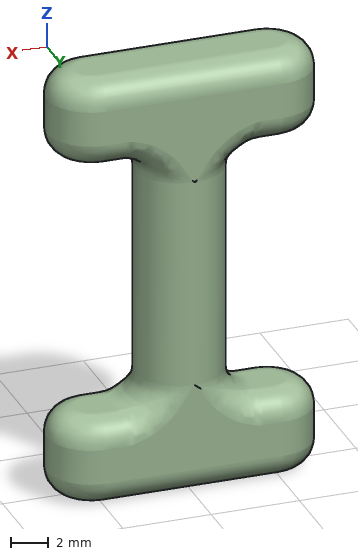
import cadquery as cq

bar_length = 15.0
bar_width = 5.0
bar_height = 5.0
total_height = 25.0
edge_radius = 1.5

post_radius = bar_width / 2
flare_base_radius = post_radius + edge_radius
bar_bottom = -total_height / 2
bar_top = bar_bottom + bar_height
flare_top = bar_top + edge_radius


def slot_prism(bottom, height):
    """Upright prism with the round-ended bar outline, long along X."""
    return cq.Workplane("XY", origin=(0, 0, bottom)).slot2D(bar_length, bar_width).extrude(height)


def flare():
    """Concave collar at the foot of the post, trimmed flat to the bar width."""
    collar = (
        cq.Workplane("XZ")
        .moveTo(0, bar_top)
        .lineTo(flare_base_radius, bar_top)
        .radiusArc((post_radius, flare_top), edge_radius)
        .lineTo(0, flare_top)
        .close()
        .revolve()
    )
    return collar.intersect(slot_prism(bar_top, edge_radius))


def lower_end():
    """Bottom bar with its flare, rounded along every edge except the post joint."""
    sharp_end = slot_prism(bar_bottom, bar_height).union(flare())
    return sharp_end.edges("not (|Z or >Z)").fillet(edge_radius)


def post():
    """Round post between the two flares, centred on the origin."""
    return cq.Workplane("XY").circle(post_radius).extrude(-flare_top, both=True)


lower = lower_end()
upper = lower.mirror("XY")
result = lower.union(post()).union(upper)